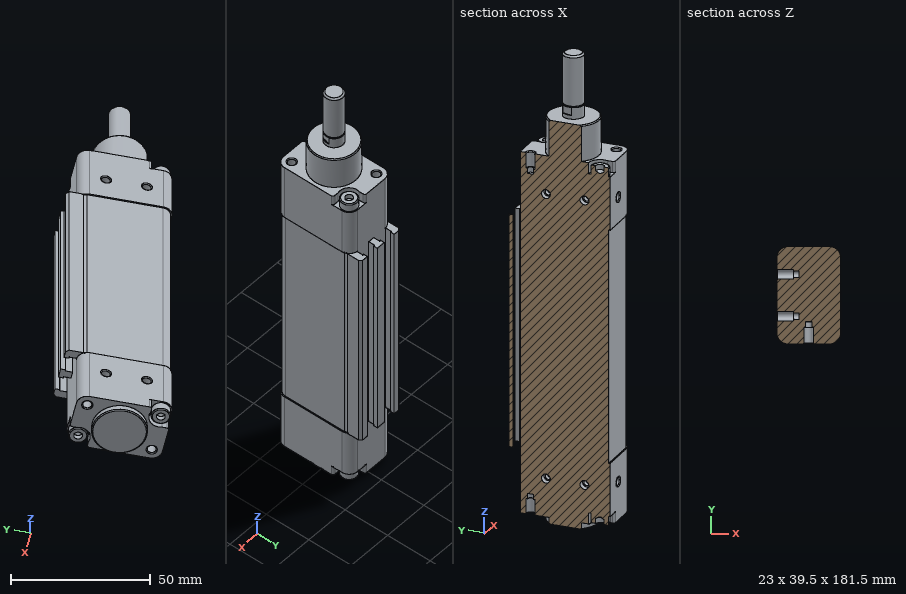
import cadquery as cq
import math

boss_height = 2.5
cap_height = 25.0
tube_length = 90.5
collar_height = 14.0
rod_reach = 24.5

lower_cap_base = boss_height
tube_base = lower_cap_base + cap_height
upper_cap_base = tube_base + tube_length
upper_cap_top = upper_cap_base + cap_height
collar_top = upper_cap_top + collar_height
rod_top = collar_top + rod_reach

cap_width = 23.0
cap_depth = 35.0
cap_corner_radius = 4.0
collar_diameter = 20.0
collar_chamfer = 0.4

tube_half_width = 11.0
tube_front = -17.0
tube_corner_radius = 3.5
groove_start = 14.3
groove_end = 15.6
side_groove_depth = 0.3
rail_top = 22.0
rail_chamfer = 1.0
slot_floor = cap_depth / 2
lip_base = 20.2
slot_center = 4.65
slot_opening = 5.5
slot_inner_width = 6.5

corner_x = 7.5
corner_y = 13.5

pocket_radius = 8.57 / 2
pocket_depth = 4.3
pocket_channel_half_width = 4.1
pocket_edge_radius = 0.9
head_diameter = 7.0
head_height = 3.6
head_chamfer = 0.4
socket_diameter = 3.12
socket_depth = 2.0
socket_tip_angle = 120.0

hole_diameter = 3.24
hole_mouth_diameter = 4.0
pilot_diameter = 2.2
thread_depth = 6.0
hole_depth = 8.0
side_hole_spacing = 15.0
port_height = 15.0

rod_diameter = 8.0
rod_tip_chamfer = 0.7
rod_thread_length = 19.5
groove_height = 0.5
groove_diameter = 7.8
flat_width = 7.0
flat_height = 3.0
flat_turn = 15.0
rod_seat = upper_cap_top


def cap_block(base):
    block = cq.Workplane("XY").workplane(offset=base).rect(cap_width, cap_depth).extrude(cap_height)
    return block.edges("|Z").fillet(cap_corner_radius)


def tube():
    groove_middle = (groove_start + groove_end) / 2
    groove_bottom = tube_half_width - side_groove_depth
    body = (
        cq.Workplane("XY").workplane(offset=tube_base)
        .moveTo(-tube_half_width + tube_corner_radius, tube_front)
        .lineTo(tube_half_width - tube_corner_radius, tube_front)
        .radiusArc((tube_half_width, tube_front + tube_corner_radius), -tube_corner_radius)
        .lineTo(tube_half_width, groove_start)
        .threePointArc((groove_bottom, groove_middle), (tube_half_width, groove_end))
        .lineTo(tube_half_width, rail_top - rail_chamfer)
        .lineTo(tube_half_width - rail_chamfer, rail_top)
        .lineTo(-tube_half_width + rail_chamfer, rail_top)
        .lineTo(-tube_half_width, rail_top - rail_chamfer)
        .lineTo(-tube_half_width, groove_end)
        .threePointArc((-groove_bottom, groove_middle), (-tube_half_width, groove_start))
        .lineTo(-tube_half_width, tube_front + tube_corner_radius)
        .radiusArc((-tube_half_width + tube_corner_radius, tube_front), -tube_corner_radius)
        .close()
        .extrude(tube_length)
    )
    for side in (-1, 1):
        body = body.cut(sensor_slot(side * slot_center))
    return body


def sensor_slot(center):
    plane = cq.Workplane("XY").workplane(offset=tube_base)
    opening_depth = rail_top - slot_floor
    inner_depth = lip_base - slot_floor
    opening = plane.center(center, slot_floor + opening_depth / 2)
    opening = opening.rect(slot_opening, opening_depth).extrude(tube_length)
    inner = plane.center(center, slot_floor + inner_depth / 2)
    inner = inner.rect(slot_inner_width, inner_depth).extrude(tube_length)
    return opening.union(inner)


def corner_pocket():
    """Pocket at the -X -Y corner of a cap face at Z = 0, cut downward.

    A bore around the screw opens through both side faces by straight channels with
    rounded mouths. The outline is drawn about the screw axis.
    """
    face = corner_x - cap_width / 2
    wall = pocket_channel_half_width
    edge = pocket_edge_radius
    bore_end = -math.sqrt(pocket_radius**2 - wall**2)
    diagonal = pocket_radius * math.sqrt(0.5)
    return (
        cq.Workplane("XY").center(-corner_x, -corner_y)
        .moveTo(face, face)
        .lineTo(wall + edge, face)
        .radiusArc((wall, face + edge), edge)
        .lineTo(wall, bore_end)
        .threePointArc((diagonal, diagonal), (bore_end, wall))
        .lineTo(face + edge, wall)
        .radiusArc((face, wall + edge), edge)
        .close()
        .extrude(-pocket_depth)
    )


def screw_head():
    """Screw head at the -X -Y corner, standing on the pocket floor below Z = 0."""
    head = (
        cq.Workplane("XY").workplane(offset=-pocket_depth)
        .center(-corner_x, -corner_y)
        .circle(head_diameter / 2).extrude(head_height)
        .faces(">Z").edges().chamfer(head_chamfer)
    )
    radius = socket_diameter / 2
    tip_depth = socket_depth + radius / math.tan(math.radians(socket_tip_angle / 2))
    socket = (
        cq.Workplane("XZ")
        .lineTo(radius, 0)
        .lineTo(radius, -socket_depth)
        .lineTo(0, -tip_depth)
        .close()
        .revolve(360, (0, 0), (0, 1))
        .translate((-corner_x, -corner_y, head_height - pocket_depth))
    )
    return head.cut(socket)


def threaded_hole(point, direction):
    """Blind hole drilled from point along direction: countersink, thread, narrower pilot end."""
    start = cq.Vector(*point)
    axis = cq.Vector(*direction)
    mouth_radius = hole_mouth_diameter / 2
    radius = hole_diameter / 2
    pilot = cq.Solid.makeCylinder(pilot_diameter / 2, hole_depth, start, axis)
    thread = cq.Solid.makeCylinder(radius, thread_depth, start, axis)
    mouth = cq.Solid.makeCone(mouth_radius, radius, mouth_radius - radius, start, axis)
    return cq.Workplane(pilot).union(cq.Workplane(thread)).union(cq.Workplane(mouth))


def finish_cap_face(body):
    """Pockets, screws and mounting holes of the cap face at Z = upper_cap_top."""
    for turn in (0, 180):
        pocket = corner_pocket().rotate((0, 0, 0), (0, 0, 1), turn)
        head = screw_head().rotate((0, 0, 0), (0, 0, 1), turn)
        body = body.cut(pocket.translate((0, 0, upper_cap_top)))
        body = body.union(head.translate((0, 0, upper_cap_top)))
    for side in (-1, 1):
        point = (side * corner_x, -side * corner_y, upper_cap_top)
        body = body.cut(threaded_hole(point, (0, 0, -1)))
    port_z = upper_cap_top - port_height
    body = body.cut(threaded_hole((0, -cap_depth / 2, port_z), (0, 1, 0)))
    for side in (-1, 1):
        point = (-cap_width / 2, side * side_hole_spacing / 2, port_z)
        body = body.cut(threaded_hole(point, (1, 0, 0)))
    return body


def upper_cap():
    return finish_cap_face(cap_block(upper_cap_base))


def lower_cap():
    """The lower cap is the upper one mirrored about the middle of the tube."""
    middle = tube_base + tube_length / 2
    return upper_cap().mirror("XY", (0, 0, middle))


def round_end(base, height, outer_face):
    cylinder = cq.Workplane("XY").workplane(offset=base).circle(collar_diameter / 2).extrude(height)
    return cylinder.faces(outer_face).edges().chamfer(collar_chamfer)


rod_bore = cq.Workplane("XY").workplane(offset=rod_seat).circle(rod_diameter / 2)
rod_bore = rod_bore.extrude(collar_top - rod_seat)

housing = (
    tube()
    .union(lower_cap())
    .union(upper_cap())
    .union(round_end(0, boss_height, "<Z"))
    .union(round_end(upper_cap_top, collar_height, ">Z"))
    .cut(rod_bore)
)


def piston_rod():
    rod = cq.Workplane("XY").workplane(offset=rod_seat).circle(rod_diameter / 2)
    rod = rod.extrude(rod_top - rod_seat).faces(">Z").edges().chamfer(rod_tip_chamfer)

    groove_base = rod_top - rod_thread_length - groove_height
    groove = cq.Workplane("XY").workplane(offset=groove_base)
    groove = groove.circle(rod_diameter / 2).circle(groove_diameter / 2).extrude(groove_height)
    rod = rod.cut(groove)

    cutter_offset = (flat_width + rod_diameter) / 2
    cutters = cq.Workplane("XY").workplane(offset=groove_base - flat_height)
    cutters = cutters.pushPoints([(-cutter_offset, 0), (cutter_offset, 0)])
    cutters = cutters.rect(rod_diameter, rod_diameter).extrude(flat_height)
    return rod.cut(cutters.rotate((0, 0, 0), (0, 0, 1), -flat_turn))


rod = piston_rod()

result = cq.Compound.makeCompound([housing.val(), rod.val()])